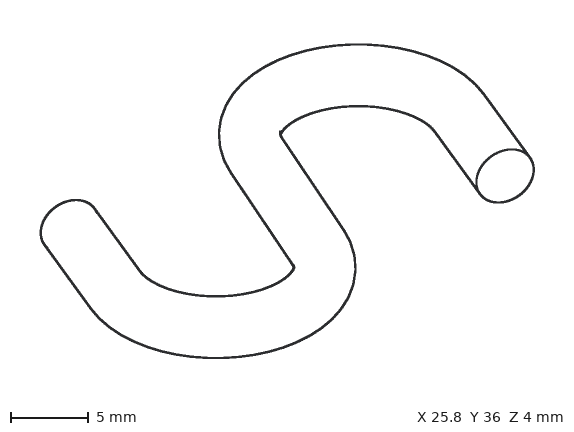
import cadquery as cq
import math

wire_diameter = 4.0
overall_length = 35.98
hook_opening = 10.0
arm_length = 8.0
shank_angle = 135.0
bend_angle = 178.5

bend_radius = (hook_opening + wire_diameter) / 2


def direction(angle):
    """Unit vector in the XY plane at an angle in degrees from +X."""
    return cq.Vector(math.cos(math.radians(angle)), math.sin(math.radians(angle)), 0)


along_shank = direction(shank_angle)
across_shank = direction(shank_angle - 90)
bend_centre_y = overall_length / 2 - bend_radius - wire_diameter / 2
half_shank = (bend_centre_y - bend_radius * across_shank.y) / along_shank.y

shank_end = along_shank * half_shank
bend_centre = shank_end + across_shank * bend_radius
bend_start_angle = shank_angle + 90
bend_middle = bend_centre + direction(bend_start_angle - bend_angle / 2) * bend_radius
bend_end = bend_centre + direction(bend_start_angle - bend_angle) * bend_radius
arm_tip = bend_end + direction(shank_angle - bend_angle) * arm_length

centreline = cq.Wire.assembleEdges([
    cq.Edge.makeLine(-arm_tip, -bend_end),
    cq.Edge.makeThreePointArc(-bend_end, -bend_middle, -shank_end),
    cq.Edge.makeLine(-shank_end, shank_end),
    cq.Edge.makeThreePointArc(shank_end, bend_middle, bend_end),
    cq.Edge.makeLine(bend_end, arm_tip),
])

tip_plane = cq.Plane(origin=(-arm_tip).toTuple(), normal=(arm_tip - bend_end).toTuple())
result = cq.Workplane(tip_plane).circle(wire_diameter / 2).sweep(cq.Workplane(obj=centreline))